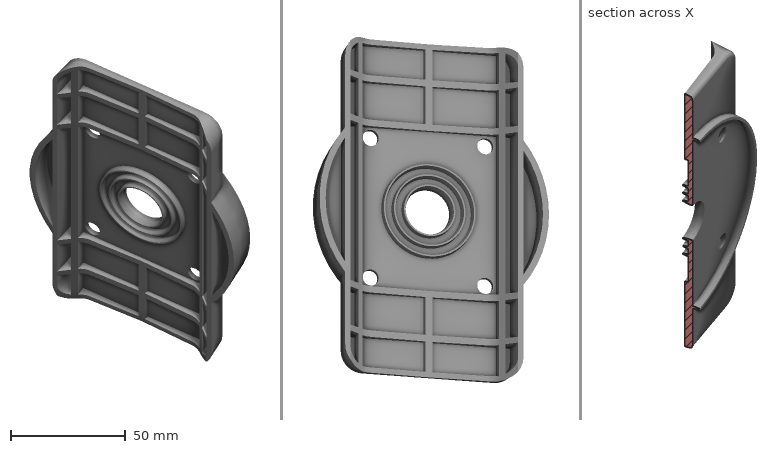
import cadquery as cq
import math

DEPTH_PLANE = cq.Plane(origin=(0, 0, 0), xDir=(1, 0, 0), normal=(0, 1, 0))

DRAFT = 5.0

DISC_DEPTH = 16.0
DISC_RADIUS = 51.9
DISC_RIM = 2.75

TRAY_WIDTH = 80.6
TRAY_LENGTH = 151.74
TRAY_DEPTH = 12.5
TRAY_CORNER = 10.6
TRAY_BACK_FILLET = 2.2
TRAY_WALL = 2.4
FLOOR_Y = 10.2

ARCH_HALF_WIDTH = TRAY_WIDTH / 2 - TRAY_WALL
ARCH_FLAT_HALF_WIDTH = 25.6
ARCH_SHOULDER_Y = 7.6
ARCH_CROWN_Y = 8.45
ARCH_CROWN_FLAT = 0.4
ARCH_FLANK_ANGLE = 39.6

SIDE_RIB_X = 32.05
SIDE_RIB_BASE = 2.6
SIDE_RIB_TOP = 2.2
INNER_RIB_Z = 37.55
INNER_RIB_WIDTH = 2.9
OUTER_RIB_Z = 57.55
OUTER_RIB_BASE = 3.1
OUTER_RIB_TOP = 2.6
CENTRE_RIB_BASE = 4.0
CENTRE_RIB_TOP = 2.8
CENTRE_RIB_TOP_Y = ARCH_SHOULDER_Y

BORE_RADIUS = 10.2
RIDGE_PITCH = 4.6
RIDGE_COUNT = 3
RIDGE_BASE = 1.7
RIDGE_TOP = 0.7
RIDGE_OUTER_LEAN = 0.3
RIDGE_TOP_Y = 7.3

HOLE_DIAMETER = 7.2
HOLE_SPACING_X = 51.8
HOLE_SPACING_Z = 63.0


def at_depth(y):
    """Workplane facing +Y at the given depth."""
    return cq.Workplane(DEPTH_PLANE).workplane(offset=y)


def tray_block(inset, depth):
    """Drafted rounded block following the tray outline, moved inwards by the inset."""
    outline = cq.Sketch().rect(TRAY_WIDTH - 2 * inset, TRAY_LENGTH - 2 * inset)
    outline = outline.vertices().fillet(TRAY_CORNER - inset)
    return at_depth(0).placeSketch(outline).extrude(depth, taper=DRAFT)


def disc():
    """Drafted rim with straight inner walls, crossed by a web as thick as the tray floor."""
    inner_radius = DISC_RADIUS - DISC_RIM
    rim = at_depth(0).circle(DISC_RADIUS).extrude(DISC_DEPTH, taper=DRAFT)
    front_recess = at_depth(0).circle(inner_radius).extrude(FLOOR_Y)
    back_recess = at_depth(TRAY_DEPTH).circle(inner_radius).extrude(DISC_DEPTH - TRAY_DEPTH)
    return rim.cut(front_recess).cut(back_recess)


def tray():
    return tray_block(0, TRAY_DEPTH).faces(">Y").edges().fillet(TRAY_BACK_FILLET)


def arch():
    """Cutter with sloping flanks, rounded shoulders and a shallow crown with a narrow flat at X = 0."""
    angle = math.radians(ARCH_FLANK_ANGLE)
    corner_x = ARCH_HALF_WIDTH - ARCH_SHOULDER_Y / math.tan(angle)
    tangent = corner_x - ARCH_FLAT_HALF_WIDTH
    radius = tangent / math.tan(angle / 2)
    arc_end = (corner_x + tangent * math.cos(angle), ARCH_SHOULDER_Y - tangent * math.sin(angle))
    arc_mid = (
        ARCH_FLAT_HALF_WIDTH + radius * math.sin(angle / 2),
        ARCH_SHOULDER_Y - radius * (1 - math.cos(angle / 2)),
    )
    half = (
        cq.Workplane("XY")
        .workplane(offset=-TRAY_LENGTH / 2)
        .moveTo(0, 0)
        .lineTo(ARCH_HALF_WIDTH, 0)
        .lineTo(*arc_end)
        .threePointArc(arc_mid, (ARCH_FLAT_HALF_WIDTH, ARCH_SHOULDER_Y))
        .lineTo(ARCH_CROWN_FLAT / 2, ARCH_CROWN_Y)
        .lineTo(0, ARCH_CROWN_Y)
        .close()
        .extrude(TRAY_LENGTH)
    )
    return half.union(half.mirror("YZ"))


def rib_along_z(base_width, top_width, top_y, length):
    """Rib along Z centred on X = 0, narrowing from the tray floor to its top."""
    half_base = base_width / 2
    half_top = top_width / 2
    return (
        cq.Workplane("XY")
        .workplane(offset=-length / 2)
        .polyline([(-half_base, FLOOR_Y), (half_base, FLOOR_Y), (half_top, top_y), (-half_top, top_y)])
        .close()
        .extrude(length)
    )


def rib_along_x(base_width, top_width):
    return rib_along_z(base_width, top_width, 0, TRAY_WIDTH).rotate((0, 0, 0), (0, 1, 0), 90)


def ribs():
    """Side, cross and centre ribs, before the arch trims their tops."""
    side = rib_along_z(SIDE_RIB_BASE, SIDE_RIB_TOP, 0, TRAY_LENGTH)
    inner_cross = rib_along_x(INNER_RIB_WIDTH, INNER_RIB_WIDTH)
    outer_cross = rib_along_x(OUTER_RIB_BASE, OUTER_RIB_TOP)
    centre_length = TRAY_LENGTH / 2 - INNER_RIB_Z
    centre = rib_along_z(CENTRE_RIB_BASE, CENTRE_RIB_TOP, CENTRE_RIB_TOP_Y, centre_length)

    grid = cq.Workplane("XY")
    for sign in (-1, 1):
        grid = grid.add(side.translate((sign * SIDE_RIB_X, 0, 0)))
        grid = grid.add(inner_cross.translate((0, 0, sign * INNER_RIB_Z)))
        grid = grid.add(outer_cross.translate((0, 0, sign * OUTER_RIB_Z)))
        grid = grid.add(centre.translate((0, 0, sign * (INNER_RIB_Z + centre_length / 2))))
    return grid.combine()


def ring_ridge(outer_radius):
    """Ring standing on the tray floor, with its inner wall leaning more than its outer wall."""
    top_outer = outer_radius - RIDGE_OUTER_LEAN
    profile = [
        (outer_radius, FLOOR_Y),
        (top_outer, RIDGE_TOP_Y),
        (top_outer - RIDGE_TOP, RIDGE_TOP_Y),
        (outer_radius - RIDGE_BASE, FLOOR_Y),
    ]
    return cq.Workplane("XY").polyline(profile).close().revolve(360, (0, 0, 0), (0, 1, 0))


cavity = tray_block(TRAY_WALL, FLOOR_Y)
body = disc().union(tray()).cut(cavity).union(ribs().intersect(cavity)).cut(arch())

for index in range(RIDGE_COUNT):
    body = body.union(ring_ridge(BORE_RADIUS + RIDGE_BASE + index * RIDGE_PITCH))

bore = at_depth(0).circle(BORE_RADIUS).extrude(DISC_DEPTH)
screw_holes = (
    at_depth(0)
    .rect(HOLE_SPACING_X, HOLE_SPACING_Z, forConstruction=True)
    .vertices()
    .circle(HOLE_DIAMETER / 2)
    .extrude(DISC_DEPTH)
)
result = body.cut(bore).cut(screw_holes)